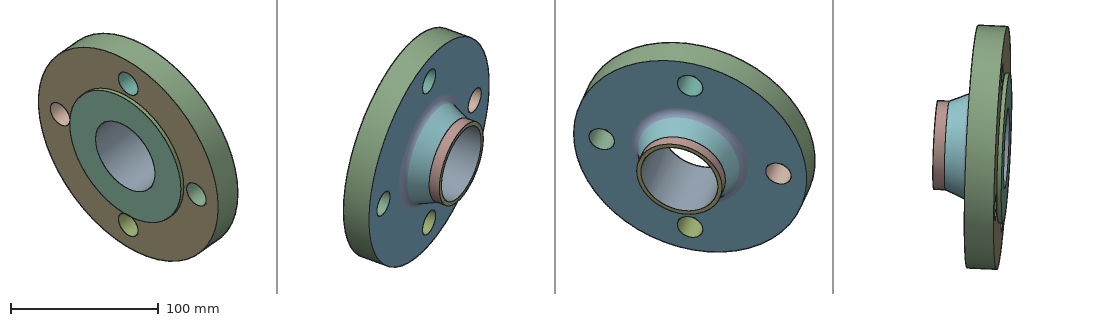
import cadquery as cq

flange_diameter = 165.0
flange_thickness = 20.0
raised_face_diameter = 102.0
raised_face_height = 3.0
bore_diameter = 54.5
overall_length = 48.0

weld_end_diameter = 60.4
weld_end_length = 8.0
hub_base_diameter = 75.0
hub_fillet_radius = 6.0

bolt_circle_diameter = 125.0
bolt_hole_diameter = 18.0
bolt_count = 4

root_search_margin = 0.2

flange_back = raised_face_height + flange_thickness
hub_end = overall_length - weld_end_length


def disc(diameter, start, end):
    """Cylinder about the Y axis between two Y positions."""
    return cq.Workplane("XZ", origin=(0, start, 0)).circle(diameter / 2).extrude(start - end)


def body_of_revolution():
    """Raised face, flange plate, conical hub and weld end turned about Y."""
    return (
        cq.Workplane("XY")
        .lineTo(raised_face_diameter / 2, 0)
        .lineTo(raised_face_diameter / 2, raised_face_height)
        .lineTo(flange_diameter / 2, raised_face_height)
        .lineTo(flange_diameter / 2, flange_back)
        .lineTo(hub_base_diameter / 2, flange_back)
        .lineTo(weld_end_diameter / 2, hub_end)
        .lineTo(weld_end_diameter / 2, overall_length)
        .lineTo(0, overall_length)
        .close()
        .revolve(360, (0, 0, 0), (0, 1, 0))
    )


def bolt_holes():
    """Through holes evenly spaced on the bolt circle, starting on the X axis."""
    return (
        cq.Workplane("XZ")
        .polarArray(bolt_circle_diameter / 2, 0, 360, bolt_count)
        .circle(bolt_hole_diameter / 2)
        .extrude(-overall_length)
    )


hub_root = cq.selectors.BoxSelector(
    (-flange_diameter, flange_back - root_search_margin, -flange_diameter),
    (flange_diameter, flange_back + root_search_margin, flange_diameter),
)
body = body_of_revolution()
root_edge = body.edges(hub_root).edges(cq.selectors.RadiusNthSelector(0))
body = root_edge.fillet(hub_fillet_radius)

result = body.cut(disc(bore_diameter, 0, overall_length)).cut(bolt_holes())